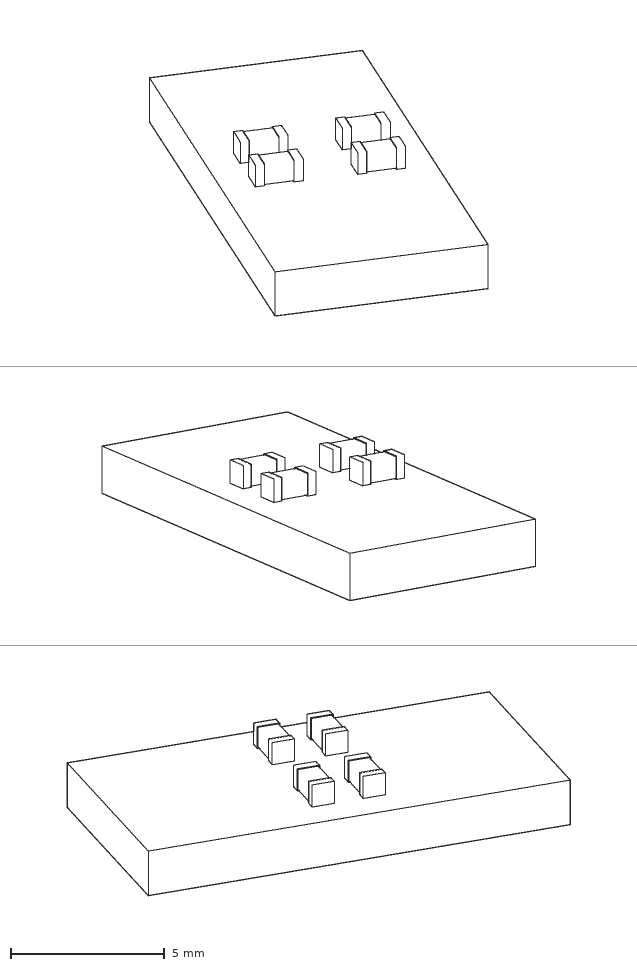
import cadquery as cq

board_length = 14.73
board_width = 7.2
board_height = 1.6

chip_width = 0.8
chip_height = chip_width
chip_length = 1.62
cap_length = 0.31
edge_radius = 0.03
ceramic_inset = 0.03
board_gap = 0.05

chip_centres = [
    (6.53, 1.89),
    (8.31, 1.89),
    (6.5, 5.35),
    (8.35, 5.33),
]


def make_board():
    """Plain rectangular board."""
    return cq.Workplane("XY").box(board_length, board_width, board_height, centered=False)


def rounded_bar(width, height, length):
    """Bar along Y, centred on the origin, with its long edges rounded."""
    return cq.Workplane("XY").box(width, length, height).edges("|Y").fillet(edge_radius)


def make_chip(x, y):
    """Ceramic middle with a slightly larger cap at each end, held just above the board."""
    ceramic_width = chip_width - 2 * ceramic_inset
    ceramic_height = chip_height - 2 * ceramic_inset
    chip = rounded_bar(ceramic_width, ceramic_height, chip_length)

    cap = rounded_bar(chip_width, chip_height, cap_length)
    cap_offset = (chip_length - cap_length) / 2
    for side in (-1, 1):
        chip = chip.union(cap.translate((0, side * cap_offset, 0)))

    chip_centre_z = board_height + board_gap + chip_height / 2
    return chip.translate((x, y, chip_centre_z))


board = make_board()
chips = [make_chip(x, y) for x, y in chip_centres]

result = cq.Compound.makeCompound([board.val(), *[chip.solids().val() for chip in chips]])